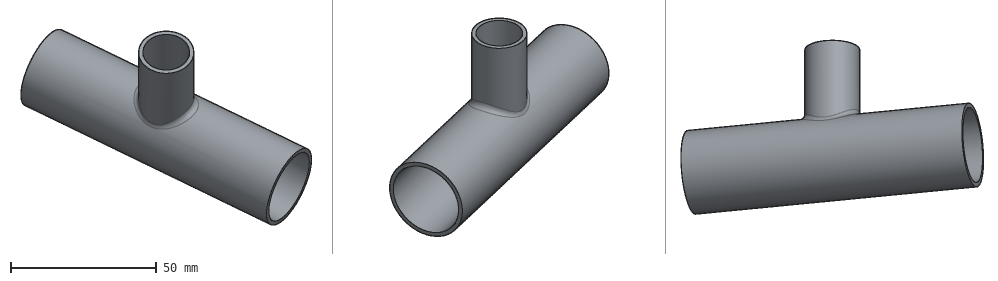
import cadquery as cq

run_length = 100.0
run_outer_diameter = 29.0
run_bore_diameter = 26.0

branch_outer_diameter = 19.0
branch_bore_diameter = 16.0
branch_top = 40.0

weld_fillet_radius = 2.0


def run_cylinder(diameter):
    """Cylinder along X over the full length of the run."""
    return cq.Workplane("YZ").circle(diameter / 2).extrude(run_length / 2, both=True)


def branch_cylinder(diameter):
    """Cylinder along Z from the run axis to the open end of the branch."""
    return cq.Workplane("XY").circle(diameter / 2).extrude(branch_top)


def is_junction_edge(edge):
    """True for the curve where the branch meets the outside of the run."""
    box = edge.BoundingBox()
    between_run_ends = max(abs(box.xmin), abs(box.xmax)) < run_length / 4
    below_branch_end = box.zmin < run_outer_diameter / 2
    return between_run_ends and below_branch_end


tee = run_cylinder(run_outer_diameter).union(branch_cylinder(branch_outer_diameter))
junction_edges = [edge for edge in tee.edges().vals() if is_junction_edge(edge)]
tee = tee.newObject(junction_edges).fillet(weld_fillet_radius)

result = tee.cut(run_cylinder(run_bore_diameter)).cut(branch_cylinder(branch_bore_diameter))